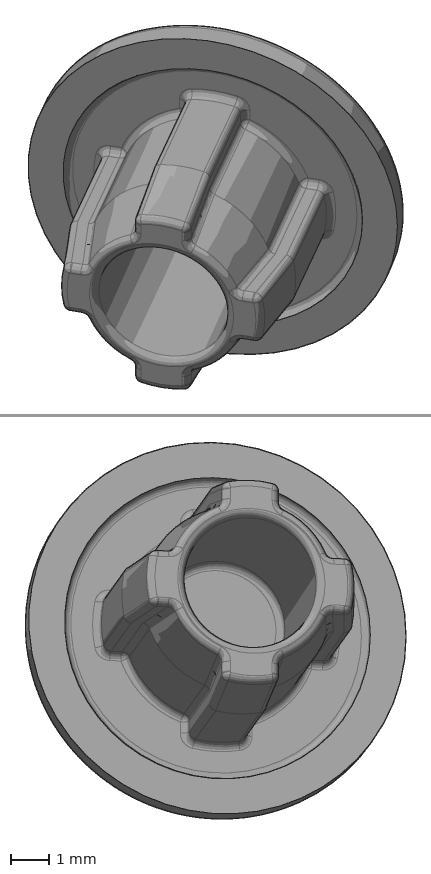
import cadquery as cq
import math


FILLET = 0.2

CAP_RADIUS = 5.0
CAP_HEIGHT = 1.0
DOME_EDGE_HEIGHT = 0.8
CAP_EDGE_FILLET = 0.3
RECESS_RADIUS = 4.05
RECESS_DEPTH = FILLET

SHANK_LENGTH = 5.0
STRAIGHT_LENGTH = 3.0
TAPER_ANGLE = 10.0
TUBE_RADIUS = 2.5
BORE_RADIUS = 1.75
BORE_DEPTH = SHANK_LENGTH
RIB_RADIUS = 3.075
RIB_WIDTH = 1.5

TAPER_DROP = (SHANK_LENGTH - STRAIGHT_LENGTH) * math.tan(math.radians(TAPER_ANGLE))
TOLERANCE = 0.01


def revolve_about_y(profile):
    return profile.close().revolve(360, (0, 0, 0), (0, 1, 0))


def lies_at_height(edge, height):
    box = edge.BoundingBox()
    return abs(box.ymin - height) < TOLERANCE and abs(box.ymax - height) < TOLERANCE


def fillet_edges(body, radius, is_wanted):
    picked = [edge for edge in body.edges().vals() if is_wanted(edge)]
    return body.newObject(picked).fillet(radius)


def make_cap():
    """Disc with a shallow spherical dome and a round recess in the underside."""
    dome_rise = CAP_HEIGHT - DOME_EDGE_HEIGHT
    dome_radius = (CAP_RADIUS**2 + dome_rise**2) / (2 * dome_rise)
    disc_profile = (
        cq.Workplane("XY")
        .lineTo(CAP_RADIUS, 0)
        .lineTo(CAP_RADIUS, DOME_EDGE_HEIGHT)
        .radiusArc((0, CAP_HEIGHT), -dome_radius)
    )
    disc = revolve_about_y(disc_profile)
    disc = fillet_edges(disc, CAP_EDGE_FILLET, lambda edge: lies_at_height(edge, DOME_EDGE_HEIGHT))

    recess_profile = (
        cq.Workplane("XY")
        .lineTo(RECESS_RADIUS, 0)
        .radiusArc((RECESS_RADIUS - FILLET, RECESS_DEPTH), -FILLET)
        .lineTo(0, RECESS_DEPTH)
    )
    return disc.cut(revolve_about_y(recess_profile))


def make_tapered_body(radius):
    """Solid round body, straight at first and tapered towards the free end."""
    profile = (
        cq.Workplane("XY")
        .moveTo(0, RECESS_DEPTH)
        .lineTo(radius, RECESS_DEPTH)
        .lineTo(radius, -STRAIGHT_LENGTH)
        .lineTo(radius - TAPER_DROP, -SHANK_LENGTH)
        .lineTo(0, -SHANK_LENGTH)
    )
    return revolve_about_y(profile)


def make_shank():
    """Tapered tube body, still solid, with four ribs on the X and Z axes."""
    shank = make_tapered_body(TUBE_RADIUS)
    rib_envelope = make_tapered_body(RIB_RADIUS)
    start = cq.Workplane("XZ", origin=(0, RECESS_DEPTH, 0))
    length = SHANK_LENGTH + RECESS_DEPTH
    span = 3 * RIB_RADIUS
    for width, height in ((span, RIB_WIDTH), (RIB_WIDTH, span)):
        bar = start.rect(width, height).extrude(length)
        shank = shank.union(rib_envelope.intersect(bar))
    return shank


def is_rib_edge(edge):
    """True for the lengthwise edges of the ribs, outer corners and roots alike."""
    box = edge.BoundingBox()
    middle = edge.Center()
    is_lengthwise = box.ylen > CAP_HEIGHT and box.ymin < 0
    is_seam = min(abs(middle.x), abs(middle.z)) < RIB_WIDTH / 4
    return is_lengthwise and not is_seam


def is_shank_outline(edge, height):
    """True for the edges that outline the shank at the given height."""
    reach = max(math.hypot(point.X, point.Z) for point in edge.Vertices())
    return lies_at_height(edge, height) and reach < RIB_RADIUS + TOLERANCE


def round_shank(body):
    """Round the ribs lengthwise, then the free end, then the foot in the recess."""
    body = fillet_edges(body, FILLET, is_rib_edge)
    for end in (-SHANK_LENGTH, RECESS_DEPTH):
        body = fillet_edges(body, FILLET, lambda edge: is_shank_outline(edge, end))
    return body


def cut_bore(body):
    """Blind bore with a rounded floor corner and a rounded mouth."""
    mouth = -SHANK_LENGTH
    floor = mouth + BORE_DEPTH
    profile = (
        cq.Workplane("XY")
        .moveTo(0, floor)
        .lineTo(BORE_RADIUS - FILLET, floor)
        .radiusArc((BORE_RADIUS, floor - FILLET), FILLET)
        .lineTo(BORE_RADIUS, mouth + FILLET)
        .radiusArc((BORE_RADIUS + FILLET, mouth), -FILLET)
        .lineTo(0, mouth)
    )
    return body.cut(revolve_about_y(profile))


result = cut_bore(round_shank(make_cap().union(make_shank())))